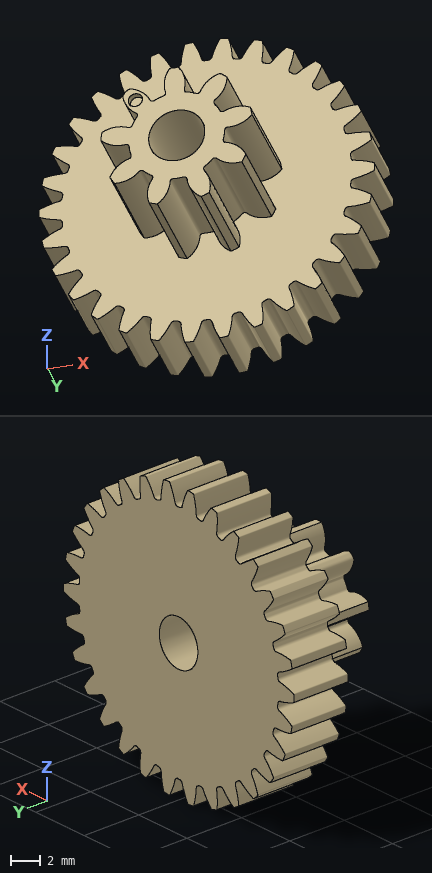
import cadquery as cq
import math

wheel_teeth = 30
wheel_thickness = 5.0
wheel_tip_radius = 11.95
wheel_root_radius = 10.33
wheel_first_tooth_angle = 0.0
wheel_root_fillet = 0.26
wheel_tip_fillet = 0.1
wheel_flank = [(wheel_root_radius, 0.77), (11.25, 0.57), (wheel_tip_radius, 0.3)]

pinion_teeth = 9
pinion_length = 7.7
pinion_tip_radius = 5.43
pinion_root_radius = 3.42
pinion_first_tooth_angle = 92.0
pinion_root_fillet = 0.22
pinion_flank = [(pinion_root_radius, 0.6), (4.3, 0.75), (pinion_tip_radius, 0.3)]

marked_tooth_angle = pinion_first_tooth_angle + 360.0 / pinion_teeth
marked_tip_fillet = 0.35
dimple_diameter = 1.0
dimple_depth = 0.5
dimple_radius_from_axis = 4.4

bore_diameter = 4.0
bore_reach = wheel_thickness + pinion_length

pinion_end_y = -pinion_length
edge_tolerance = 0.002


def polar(radius, angle):
    """Point (X, Z) at a radius and an angle in degrees, counted from +X towards +Z."""
    return (radius * math.cos(math.radians(angle)), radius * math.sin(math.radians(angle)))


def flank_points(flank, tooth_angle, side):
    """Points of one flank, from root to tip, on the side +1 or -1 of the tooth centreline."""
    return [
        polar(radius, tooth_angle + side * math.degrees(math.asin(half_width / radius)))
        for radius, half_width in flank
    ]


def fillet_edges_at_radius(body, radius, fillet):
    """Round all lengthwise edges that lie at one radius from the gear axis."""

    def at_radius(edge):
        centre = edge.Center()
        return abs(math.hypot(centre.x, centre.z) - radius) < edge_tolerance

    return body.edges("|Y").filter(at_radius).fillet(fillet)


def gear_blank(teeth, flank, first_tooth_angle, root_fillet, length):
    """Toothed cylinder from Y = 0 towards -Y, with rounded tooth roots."""
    root_radius = flank[0][0]
    tip_radius = flank[-1][0]
    pitch_angle = 360.0 / teeth
    outline = cq.Workplane("XZ").moveTo(*flank_points(flank, first_tooth_angle, -1)[0])
    for tooth in range(teeth):
        angle = first_tooth_angle + tooth * pitch_angle
        next_angle = first_tooth_angle + (tooth + 1) % teeth * pitch_angle
        _, middle_up, tip_start = flank_points(flank, angle, -1)
        root_down, middle_down, tip_end = flank_points(flank, angle, 1)
        next_root = flank_points(flank, next_angle, -1)[0]
        outline = (
            outline.threePointArc(middle_up, tip_start)
            .threePointArc(polar(tip_radius, angle), tip_end)
            .threePointArc(middle_down, root_down)
            .threePointArc(polar(root_radius, angle + pitch_angle / 2), next_root)
        )
    blank = outline.close().extrude(length)
    return fillet_edges_at_radius(blank, root_radius, root_fillet)


def bore(body):
    """Cut the central through bore, along the gear axis."""
    cutter = cq.Workplane("XZ").circle(bore_diameter / 2).extrude(bore_reach, both=True)
    return body.cut(cutter)


def round_marked_tip(body):
    """Round the two tip corners of the marked pinion tooth."""
    corners = [flank_points(pinion_flank, marked_tooth_angle, side)[-1] for side in (-1, 1)]

    def at_corner(edge):
        centre = edge.Center()
        return any(math.dist((centre.x, centre.z), corner) < edge_tolerance for corner in corners)

    return body.edges("|Y").filter(at_corner).fillet(marked_tip_fillet)


def cut_dimple(body):
    """Cut the dimple into the front end of the marked tooth."""
    cutter = (
        cq.Workplane("XZ", origin=(0, pinion_end_y, 0))
        .center(*polar(dimple_radius_from_axis, marked_tooth_angle))
        .circle(dimple_diameter / 2)
        .extrude(-dimple_depth)
    )
    return body.cut(cutter)


def make_wheel():
    blank = gear_blank(
        wheel_teeth, wheel_flank, wheel_first_tooth_angle, wheel_root_fillet, wheel_thickness
    )
    rounded = fillet_edges_at_radius(blank, wheel_tip_radius, wheel_tip_fillet)
    return bore(rounded.translate((0, wheel_thickness, 0)))


def make_pinion():
    blank = gear_blank(
        pinion_teeth, pinion_flank, pinion_first_tooth_angle, pinion_root_fillet, pinion_length
    )
    return cut_dimple(round_marked_tip(bore(blank)))


wheel = make_wheel()
pinion = make_pinion()

result = cq.Compound.makeCompound([wheel.val(), pinion.val()])